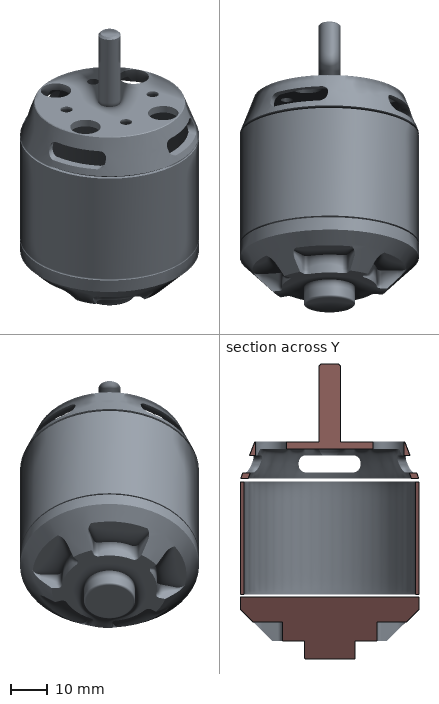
import cadquery as cq
import math

TOTAL_HEIGHT = 80.4
BASE_BOTTOM = 5.0
BASE_RIM_BOTTOM = 13.5
BASE_TOP = 17.05
CAN_BOTTOM = 17.5
CAN_TOP = 48.4
CAP_BOTTOM = 49.1
CAP_TOP = 59.2

MOTOR_RADIUS = 48.7 / 2
CAN_BORE_RADIUS = 46.7 / 2

CAP_TOP_RADIUS = 20.5
CAP_EDGE_CHAMFER = 0.2
CAP_PLATE_THICKNESS = 2.0
CAP_WALL_THICKNESS = 2.0

HOLE_COUNT = 4
VENT_HOLE_DIAMETER = 8.3
VENT_HOLE_CENTRE_RADIUS = 16.0
SCREW_HOLE_DIAMETER = 3.3
SCREW_HOLE_CENTRE_RADIUS = 12.55
SLOT_LENGTH = 16.8
SLOT_BOTTOM = 50.8
SLOT_TOP = 55.5
SLOT_CORNER_RADIUS = 2.0

SHAFT_RADIUS = 6.0 / 2
SHAFT_CHAMFER = 0.6
FLAT_DEPTH = 1.05
FLAT_BOTTOM = 60.95
FLAT_TOP = 65.0

BASE_BOTTOM_RADIUS = 15.75
BOSS_RADIUS = 14.0 / 2
BOSS_EDGE_FILLET = 0.6
POCKET_COUNT = 5
POCKET_FIRST_ANGLE = 90.0
POCKET_HALF_ANGLE = 25.7
POCKET_CEILING = 10.1
POCKET_INNER_RADIUS = 12.95
POCKET_OUTER_RADIUS = 21.3
POCKET_INNER_FILLET = 1.3
POCKET_OUTER_FILLET = 2.5


def cylinder(radius, bottom, top):
    """Upright cylinder on the motor axis."""
    return cq.Workplane("XY").workplane(offset=bottom).circle(radius).extrude(top - bottom)


def cone_frustum(bottom_radius, bottom, top_radius, top):
    """Upright solid frustum on the motor axis."""
    return (
        cq.Workplane("XZ")
        .moveTo(0, bottom)
        .lineTo(bottom_radius, bottom)
        .lineTo(top_radius, top)
        .lineTo(0, top)
        .close()
        .revolve(360, (0, 0, 0), (0, 1, 0))
    )


def polar(radius, angle):
    """Point at a radius and an angle in degrees about the motor axis."""
    return (radius * math.cos(math.radians(angle)), radius * math.sin(math.radians(angle)))


def make_shaft():
    shaft = cylinder(SHAFT_RADIUS, CAP_TOP - CAP_PLATE_THICKNESS, TOTAL_HEIGHT)
    shaft = shaft.faces(">Z").chamfer(SHAFT_CHAMFER)
    flat = cq.Workplane("XY").box(
        2 * SHAFT_RADIUS, FLAT_DEPTH, FLAT_TOP - FLAT_BOTTOM, centered=(True, False, False)
    )
    return shaft.cut(flat.translate((0, SHAFT_RADIUS - FLAT_DEPTH, FLAT_BOTTOM)))


def make_cap_shell():
    """Hollow cone of even wall thickness, open below, with a flat plate on top."""
    outside = cone_frustum(MOTOR_RADIUS, CAP_BOTTOM, CAP_TOP_RADIUS, CAP_TOP)
    outside = outside.faces(">Z").edges().chamfer(CAP_EDGE_CHAMFER)
    taper = (MOTOR_RADIUS - CAP_TOP_RADIUS) / (CAP_TOP - CAP_BOTTOM)
    level_wall_width = CAP_WALL_THICKNESS * math.hypot(1, taper)
    cavity_bottom_radius = MOTOR_RADIUS - level_wall_width
    cavity_top_radius = CAP_TOP_RADIUS + CAP_PLATE_THICKNESS * taper - level_wall_width
    cavity_top = CAP_TOP - CAP_PLATE_THICKNESS
    return outside.cut(cone_frustum(cavity_bottom_radius, CAP_BOTTOM, cavity_top_radius, cavity_top))


def make_cap_slots():
    """Two crossing bars that open four side slots."""
    bar = (
        cq.Workplane("XY")
        .box(2 * MOTOR_RADIUS, SLOT_LENGTH, SLOT_TOP - SLOT_BOTTOM)
        .edges("|X")
        .fillet(SLOT_CORNER_RADIUS)
        .translate((0, 0, (SLOT_BOTTOM + SLOT_TOP) / 2))
    )
    return bar.union(bar.rotate((0, 0, 0), (0, 0, 1), 90))


def make_cap_holes(diameter, centre_radius, first_angle):
    return (
        cq.Workplane("XY")
        .workplane(offset=CAP_BOTTOM)
        .polarArray(centre_radius, first_angle, 360, HOLE_COUNT)
        .circle(diameter / 2)
        .extrude(CAP_TOP - CAP_BOTTOM)
    )


def make_rotor_cap():
    """Slotted cap that carries the shaft."""
    vent_holes = make_cap_holes(VENT_HOLE_DIAMETER, VENT_HOLE_CENTRE_RADIUS, 0)
    screw_holes = make_cap_holes(SCREW_HOLE_DIAMETER, SCREW_HOLE_CENTRE_RADIUS, 45)
    cap = make_cap_shell().cut(make_cap_slots()).cut(vent_holes).cut(screw_holes)
    return cap.union(make_shaft())


def make_can():
    return cylinder(MOTOR_RADIUS, CAN_BOTTOM, CAN_TOP).cut(
        cylinder(CAN_BORE_RADIUS, CAN_BOTTOM, CAN_TOP)
    )


def make_base_blank():
    """Disc with a conical underside and a rounded boss below it."""
    disc = cylinder(MOTOR_RADIUS, BASE_RIM_BOTTOM, BASE_TOP)
    underside = cone_frustum(BASE_BOTTOM_RADIUS, BASE_BOTTOM, MOTOR_RADIUS, BASE_RIM_BOTTOM)
    boss = cylinder(BOSS_RADIUS, 0, BASE_TOP).faces("<Z").edges().fillet(BOSS_EDGE_FILLET)
    return disc.union(underside).union(boss)


def round_upright_edges(body, nearest, farthest, fillet_radius):
    """Fillet the upright edges whose distance from the motor axis is within the two limits."""
    edges = [
        edge
        for edge in body.edges("|Z").vals()
        if nearest < math.hypot(edge.Center().x, edge.Center().y) < farthest
    ]
    return body.newObject(edges).fillet(fillet_radius)


def make_base_pocket(angle):
    """Ring sector with rounded corners, open through the underside of the base."""
    start = angle - POCKET_HALF_ANGLE
    end = angle + POCKET_HALF_ANGLE
    pocket = (
        cq.Workplane("XY")
        .workplane(offset=BASE_BOTTOM)
        .moveTo(*polar(POCKET_INNER_RADIUS, start))
        .lineTo(*polar(POCKET_OUTER_RADIUS, start))
        .threePointArc(polar(POCKET_OUTER_RADIUS, angle), polar(POCKET_OUTER_RADIUS, end))
        .lineTo(*polar(POCKET_INNER_RADIUS, end))
        .threePointArc(polar(POCKET_INNER_RADIUS, angle), polar(POCKET_INNER_RADIUS, start))
        .close()
        .extrude(POCKET_CEILING - BASE_BOTTOM)
    )
    half_radius = (POCKET_INNER_RADIUS + POCKET_OUTER_RADIUS) / 2
    pocket = round_upright_edges(pocket, 0, half_radius, POCKET_INNER_FILLET)
    return round_upright_edges(pocket, half_radius, MOTOR_RADIUS, POCKET_OUTER_FILLET)


def make_base():
    base = make_base_blank()
    for index in range(POCKET_COUNT):
        base = base.cut(make_base_pocket(POCKET_FIRST_ANGLE + index * 360 / POCKET_COUNT))
    return base


rotor_cap = make_rotor_cap()
can = make_can()
base = make_base()

result = cq.Compound.makeCompound([rotor_cap.val(), can.val(), base.val()])